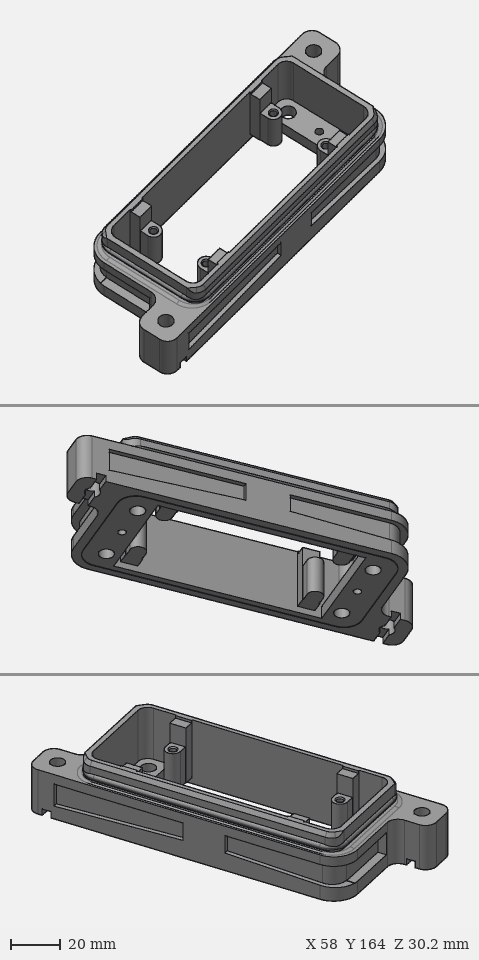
import cadquery as cq
import math

overall_height = 30.2

body_half_x = 29.0
body_half_y = 65.0
body_corner_radius = 11.0
pad_height = 0.3
body_height = 21.0
body_top = pad_height + body_height
pad_half_x = 25.5
pad_half_y = 61.0
pad_corner_radius = 8.0

lug_width = 18.0
lug_end_y = 82.0
lug_corner_radius = 5.0
lug_hole_diameter = 6.5
lug_hole_x = body_half_x - lug_width / 2
lug_hole_y = lug_end_y - lug_width / 2
lug_slot_width = 4.0
lug_slot_depth = 3.0

step_foot_half_x = 28.0
step_foot_half_y = 63.5
step_foot_radius = 10.0
step_top_half_x = 26.9
step_top_half_y = 61.6
step_top_radius = 9.0
step_rise = 0.4
wall_half_x = 25.9
wall_half_y = 60.0
wall_corner_radius = 5.5
bead_radius = 1.5
bead_inset = 0.5
bead_path_radius = 7.0
bead_crest_flat = 0.003
bead_z = overall_height - 6.8
rim_bevel_drop = 2.0
rim_bevel_run = 1.4

cavity_half_x = 22.5
cavity_half_y = 57.5
cavity_corner_radius = 4.5
plate_inner_y = 45.5
plate_top = 6.0
plate_hole_x = 16.0
plate_hole_diameter = 6.5
plate_center_hole_diameter = 3.4
plate_hole_y = (cavity_half_y + plate_inner_y) / 2

post_x = 13.5
post_y = 38.75
post_width = 7.0
post_bottom = 3.0
post_top = 20.0
post_hole_diameter = 3.0
post_hole_mouth_diameter = 4.0
post_hole_depth = 12.0
post_hole_tip_angle = 118.0
block_width = 7.5
block_inner_x = 17.5
block_top = 29.0
block_back_x = 22.0

recess_depth = 2.0
recess_top = pad_height + 16.5
recess_low_z = pad_height + 6.1
recess_high_z = pad_height + 8.3
recess_inner_y = 9.75
recess_outer_y = 69.5
end_recess_depth = 4.0
end_recess_stop_x = 5.3
recess_corner_radius = 7.0


def rounded_block(half_x, half_y, radius, bottom, top):
    """Upright block centred on the Z axis with rounded vertical edges."""
    block = cq.Workplane("XY").workplane(offset=bottom).rect(2 * half_x, 2 * half_y).extrude(top - bottom)
    return block.edges("|Z").fillet(radius)


def box_between(x_range, y_range, z_range):
    """Axis-aligned box spanning the given coordinate ranges."""
    corner = (min(x_range), min(y_range), min(z_range))
    size = (abs(x_range[1] - x_range[0]), abs(y_range[1] - y_range[0]), abs(z_range[1] - z_range[0]))
    return cq.Workplane("XY").box(*size, centered=False).translate(corner)


def cylinder(x, y, diameter, bottom, top):
    """Upright cylinder at (x, y)."""
    return cq.Workplane("XY", origin=(x, y, bottom)).circle(diameter / 2).extrude(top - bottom)


def half_turn(shape):
    """The shape turned by 180 degrees about the Z axis."""
    return shape.rotate((0, 0, 0), (0, 0, 1), 180)


def make_base():
    """Rounded body with lugs at (-X, +Y) and (+X, -Y), standing on a slightly smaller pad."""
    lug_inner_x = body_half_x - lug_width
    outline = [
        (-body_half_x, lug_end_y),
        (-lug_inner_x, lug_end_y),
        (-lug_inner_x, body_half_y),
        (body_half_x, body_half_y),
        (body_half_x, -lug_end_y),
        (lug_inner_x, -lug_end_y),
        (lug_inner_x, -body_half_y),
        (-body_half_x, -body_half_y),
    ]
    base = cq.Workplane("XY").workplane(offset=pad_height).polyline(outline).close().extrude(body_height)
    mid_z = pad_height + body_height / 2
    lug_corners = [
        (body_half_x, lug_end_y),
        (lug_inner_x, lug_end_y),
        (lug_inner_x, body_half_y),
    ]
    for side in (1, -1):
        body_corner = (side * body_half_x, side * body_half_y, mid_z)
        base = base.edges(cq.NearestToPointSelector(body_corner)).fillet(body_corner_radius)
        for corner_x, corner_y in lug_corners:
            lug_corner = (-side * corner_x, side * corner_y, mid_z)
            base = base.edges(cq.NearestToPointSelector(lug_corner)).fillet(lug_corner_radius)
    return base.union(rounded_block(pad_half_x, pad_half_y, pad_corner_radius, 0, body_top))


def cut_lugs(part):
    """Vertical hole and a crosswise slot under each lug."""
    for side in (1, -1):
        hole = cylinder(-side * lug_hole_x, side * lug_hole_y, lug_hole_diameter, 0, body_top)
        slot_start = lug_hole_y - lug_slot_width / 2
        slot_y = (side * slot_start, side * (slot_start + lug_slot_width))
        slot = box_between((0, -side * body_half_x), slot_y, (0, pad_height + lug_slot_depth))
        part = part.cut(hole).cut(slot)
    return part


def make_step():
    """Shallow sloped step on top of the body, steeper along the sides than at the ends."""
    step_foot = (
        cq.Sketch()
        .rect(2 * step_foot_half_x, 2 * step_foot_half_y)
        .vertices()
        .fillet(step_foot_radius)
    )
    step_top = (
        cq.Sketch()
        .rect(2 * step_top_half_x, 2 * step_top_half_y)
        .vertices()
        .fillet(step_top_radius)
    )
    top_offset = cq.Location(cq.Vector(0, 0, step_rise))
    base_plane = cq.Workplane("XY").workplane(offset=body_top)
    return base_plane.placeSketch(step_foot, step_top.moved(top_offset)).loft()


def make_bead():
    """Round sealing bead running around the collar wall, with a hair-thin flat on its crest."""
    path_half_x = wall_half_x - bead_inset
    path_half_y = wall_half_y - bead_inset
    outer = rounded_block(
        path_half_x + bead_radius,
        path_half_y + bead_radius,
        bead_path_radius + bead_radius,
        bead_z - bead_radius,
        bead_z + bead_radius,
    )
    return outer.faces("<Z or >Z").edges().fillet(bead_radius - bead_crest_flat / 2)


def bevel_rim(wall):
    """Bevel the long sides and half of each corner arc of the rim.

    From the middle of each arc the bevel runs on as a flat, tangent to the arc,
    until it leaves through the end wall, which stays straight.
    """
    radius = wall_corner_radius
    center_x = wall_half_x - radius
    center_y = wall_half_y - radius
    arc_mid_angle = math.pi / 4
    arc_end_x = center_x + radius * math.cos(arc_mid_angle)
    arc_end_y = center_y + radius * math.sin(arc_mid_angle)
    arc_way_x = center_x + radius * math.cos(arc_mid_angle / 2)
    arc_way_y = center_y + radius * math.sin(arc_mid_angle / 2)
    cap_y = wall_half_y + 2 * rim_bevel_run
    cap_x = arc_end_x - (cap_y - arc_end_y)
    bevel_angle = math.degrees(math.atan2(rim_bevel_run, rim_bevel_drop))
    bevel_bottom = overall_height - rim_bevel_drop

    def outline(z):
        """Bevel outline at height z, running past the end walls."""
        return (
            cq.Workplane("XY")
            .workplane(offset=z)
            .moveTo(wall_half_x, -center_y)
            .lineTo(wall_half_x, center_y)
            .threePointArc((arc_way_x, arc_way_y), (arc_end_x, arc_end_y))
            .lineTo(cap_x, cap_y)
            .lineTo(-cap_x, cap_y)
            .lineTo(-arc_end_x, arc_end_y)
            .threePointArc((-arc_way_x, arc_way_y), (-wall_half_x, center_y))
            .lineTo(-wall_half_x, -center_y)
            .threePointArc((-arc_way_x, -arc_way_y), (-arc_end_x, -arc_end_y))
            .lineTo(-cap_x, -cap_y)
            .lineTo(cap_x, -cap_y)
            .lineTo(arc_end_x, -arc_end_y)
            .threePointArc((arc_way_x, -arc_way_y), (wall_half_x, -center_y))
            .close()
        )

    beveled = outline(bevel_bottom).extrude(rim_bevel_drop, taper=bevel_angle)
    straight = outline(body_top).extrude(bevel_bottom - body_top)
    return wall.intersect(straight.union(beveled))


def make_collar():
    """Wall above the body with its step, bead and beveled rim."""
    wall = rounded_block(wall_half_x, wall_half_y, wall_corner_radius, body_top, overall_height)
    return bevel_rim(wall).union(make_step()).union(make_bead())


def cut_cavity(part):
    """Open the inside, leaving a drilled floor plate at each end."""
    upper = rounded_block(cavity_half_x, cavity_half_y, cavity_corner_radius, plate_top, overall_height)
    opening = box_between(
        (-cavity_half_x, cavity_half_x),
        (-plate_inner_y, plate_inner_y),
        (0, overall_height),
    )
    part = part.cut(upper).cut(opening)
    for y in (-plate_hole_y, plate_hole_y):
        part = part.cut(cylinder(0, y, plate_center_hole_diameter, 0, plate_top))
        for x in (-plate_hole_x, plate_hole_x):
            part = part.cut(cylinder(x, y, plate_hole_diameter, 0, plate_top))
    return part


def make_post_hole():
    """Blind screw hole with a 45 degree mouth bevel and a drill-point bottom."""
    hole_radius = post_hole_diameter / 2
    mouth_radius = post_hole_mouth_diameter / 2
    hole_bottom = post_top - post_hole_depth
    tip_height = hole_radius / math.tan(math.radians(post_hole_tip_angle / 2))
    half_section = [
        (0, post_top),
        (mouth_radius, post_top),
        (hole_radius, post_top - (mouth_radius - hole_radius)),
        (hole_radius, hole_bottom),
        (0, hole_bottom - tip_height),
    ]
    hole = cq.Workplane("XZ").polyline(half_section).close().revolve(360, (0, 0, 0), (0, 1, 0))
    return hole.translate((post_x, post_y, 0))


def make_post():
    """Round-nosed screw post, its taller backing block and the thin rib up to the rim, at (+X, +Y)."""
    post_range = (post_y - post_width / 2, post_y + post_width / 2)
    block_range = (post_y - block_width / 2, post_y + block_width / 2)
    wall_middle_x = (cavity_half_x + wall_half_x - rim_bevel_run) / 2
    post = cylinder(post_x, post_y, post_width, post_bottom, post_top)
    post = post.union(box_between((post_x, block_inner_x), post_range, (post_bottom, post_top)))
    post = post.union(box_between((block_inner_x, wall_middle_x), block_range, (post_bottom, block_top)))
    post = post.union(box_between((block_back_x, wall_middle_x), block_range, (post_bottom, overall_height)))
    return post.cut(make_post_hole())


def add_posts(part):
    """A post near each end of both side walls."""
    post = make_post()
    for end_post in (post, post.mirror("XZ")):
        part = part.union(end_post).union(end_post.mirror("YZ"))
    return part


def side_recess_outline(outer_y):
    """Outline on the -X face: level top, floor sloping down towards the outer end at +Y."""
    drop_rate = (recess_high_z - recess_low_z) / (recess_outer_y - recess_inner_y)
    outer_z = recess_high_z - drop_rate * (outer_y - recess_inner_y)
    profile = [
        (recess_inner_y, recess_top),
        (outer_y, recess_top),
        (outer_y, outer_z),
        (recess_inner_y, recess_high_z),
    ]
    return cq.Workplane("YZ").workplane(offset=-body_half_x).polyline(profile).close()


def make_recesses():
    """Recess beside the -X lug, and one that wraps around the (-X, -Y) corner onto the end wall."""
    lug_recess = side_recess_outline(recess_outer_y).extrude(recess_depth)

    floor_x = body_half_x - recess_depth
    floor_y = body_half_y - end_recess_depth
    arc_x = floor_x - recess_corner_radius
    core = rounded_block(floor_x, floor_y, recess_corner_radius, 0, body_top)
    corner_side = side_recess_outline(body_half_y).extrude(body_half_x - arc_x).mirror("XZ")
    corner_end = box_between(
        (-arc_x, end_recess_stop_x),
        (-body_half_y, -floor_y),
        (recess_low_z, recess_top),
    )
    wrap_recess = corner_side.union(corner_end).cut(core)
    return lug_recess.union(wrap_recess)


def cut_recesses(part):
    """Recesses on the -X side and, turned half way round, on the +X side."""
    recesses = make_recesses()
    return part.cut(recesses).cut(half_turn(recesses))


part = cut_lugs(make_base())
part = part.union(make_collar())
part = cut_cavity(part)
part = add_posts(part)
result = cut_recesses(part)